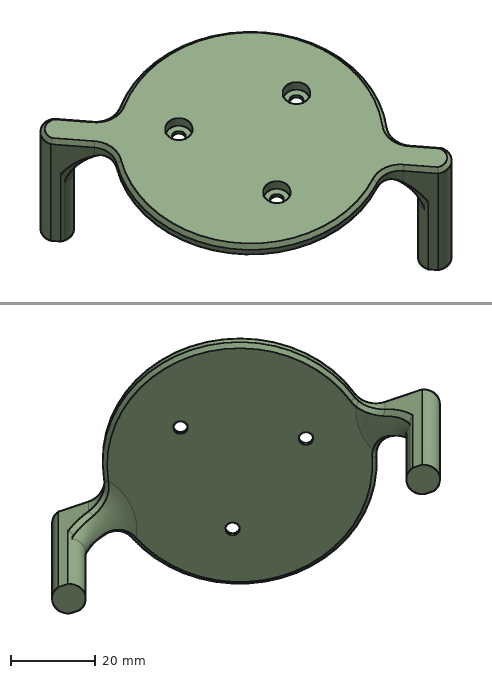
import cadquery as cq
import math

SPAN = 71.65
HEIGHT = 39.0
PLATE_THICKNESS = 4.0
EDGE_CHAMFER = 1.1

DISC_RADIUS = 32.5
DISC_X = -0.5
DISC_Y = 1.85

ARM_ANGLE = 45.0
ARM_WIDTH = 7.7
NECK_RADIUS = 6.0

LEG_RADIUS = 4.0
FLARE_RADIUS = 12.0

HOLE_COUNT = 3
HOLE_CIRCLE_RADIUS = 17.3
FIRST_HOLE_ANGLE = 101.5
HOLE_DIAMETER = 3.4
COUNTERBORE_DIAMETER = 6.5
COUNTERBORE_DEPTH = 3.0

TOLERANCE = 0.1

UNDERSIDE = HEIGHT - PLATE_THICKNESS
FLARE_START = UNDERSIDE - FLARE_RADIUS
LEG_X = SPAN / 2 - LEG_RADIUS
LEG_OFFSET = math.hypot(LEG_X, LEG_X)

ARM_TURN = math.radians(ARM_ANGLE)
DISC_U = DISC_X * math.cos(ARM_TURN) + DISC_Y * math.sin(ARM_TURN)
DISC_V = DISC_Y * math.cos(ARM_TURN) - DISC_X * math.sin(ARM_TURN)


def neck_points(end, side, inset):
    """Start, middle and end of a neck arc in u and v, going from the arm to the disc."""
    neck_radius = NECK_RADIUS + inset
    reach = DISC_RADIUS + NECK_RADIUS
    center_v = side * (ARM_WIDTH / 2 + NECK_RADIUS)
    center_u = DISC_U + end * math.sqrt(reach**2 - (center_v - DISC_V) ** 2)
    arm_direction = -side * math.pi / 2
    disc_direction = math.atan2(DISC_V - center_v, DISC_U - center_u)
    sweep = math.remainder(disc_direction - arm_direction, 2 * math.pi)
    directions = (arm_direction, arm_direction + sweep / 2, disc_direction)
    return [(center_u + neck_radius * math.cos(a), center_v + neck_radius * math.sin(a)) for a in directions]


def outline(plane, inset=0.0):
    """Closed outline of disc and arm, moved inward all around by the inset."""
    disc_radius = DISC_RADIUS - inset
    arm_side = ARM_WIDTH / 2 - inset
    tip_radius = LEG_RADIUS - inset
    tip_u = LEG_OFFSET + tip_radius
    corner_u = LEG_OFFSET + math.sqrt(tip_radius**2 - arm_side**2)
    path = plane.moveTo(corner_u, -arm_side)
    for turn in (1, -1):
        first_neck = neck_points(turn, turn, inset)
        last_neck = neck_points(-turn, turn, inset)
        path = (
            path.threePointArc((turn * tip_u, 0), (turn * corner_u, turn * arm_side))
            .lineTo(*first_neck[0])
            .threePointArc(first_neck[1], first_neck[2])
            .threePointArc((DISC_U, DISC_V + turn * disc_radius), last_neck[2])
            .threePointArc(last_neck[1], last_neck[0])
            .lineTo(-turn * corner_u, turn * arm_side)
        )
    return path.close()


def flared_leg():
    """Space kept for the leg at +u: round and flared toward the disc, straight toward the tip."""
    flare_edge = LEG_RADIUS + FLARE_RADIUS
    swing = FLARE_RADIUS * math.sqrt(0.5)
    flare = (
        cq.Workplane("YZ")
        .lineTo(LEG_RADIUS, 0)
        .lineTo(LEG_RADIUS, FLARE_START)
        .threePointArc((flare_edge - swing, FLARE_START + swing), (flare_edge, UNDERSIDE))
        .lineTo(0, UNDERSIDE)
        .close()
        .revolve(180, (0, 0), (0, 1))
    )
    leg_width = 2 * LEG_RADIUS
    tip_block = cq.Workplane("XY").box(leg_width, leg_width, UNDERSIDE, centered=(False, True, False))
    return flare.union(tip_block).translate((LEG_OFFSET, 0, 0))


def below_plate():
    """Space to clear away under the plate, around the two legs."""
    space = cq.Workplane("XY").box(2 * SPAN, 2 * SPAN, UNDERSIDE, centered=(True, True, False))
    for turn in (0, 180):
        space = space.cut(flared_leg().rotate((0, 0, 0), (0, 0, 1), turn))
    return space


def lower_rim(body):
    """Edges where the walls meet the underside and the flares, without the feet of the flares."""
    undersides = body.faces().filter(
        lambda face: face.geomType() == "TORUS" or abs(face.Center().z - UNDERSIDE) < TOLERANCE
    )
    edges = [edge for face in undersides.vals() for edge in face.Edges()]
    outer_edges = [edge for edge in edges if sum(edge.isSame(other) for other in edges) == 1]
    rim = [edge for edge in outer_edges if edge.BoundingBox().zmax > FLARE_START + TOLERANCE]
    return body.newObject(rim)


def leg_shafts():
    """Straight round shafts of both legs, with flats flush with the sides of the arm."""
    centers = [(LEG_OFFSET, 0), (-LEG_OFFSET, 0)]
    shafts = cq.Workplane("XY").pushPoints(centers).circle(LEG_RADIUS).extrude(UNDERSIDE)
    arm = cq.Workplane("XY").box(2 * SPAN, ARM_WIDTH, UNDERSIDE, centered=(True, True, False))
    return shafts.intersect(arm)


chamfer_base = HEIGHT - EDGE_CHAMFER
body = outline(cq.Workplane("XY")).extrude(chamfer_base).cut(below_plate())
body = lower_rim(body).chamfer(EDGE_CHAMFER)
body = body.union(leg_shafts())

top_layer = outline(cq.Workplane("XY", origin=(0, 0, chamfer_base)))
top_layer = outline(top_layer.workplane(offset=EDGE_CHAMFER), EDGE_CHAMFER).loft(ruled=True)
body = body.union(top_layer).rotate((0, 0, 0), (0, 0, 1), ARM_ANGLE)

result = (
    body.faces(">Z")
    .workplane(origin=(DISC_X, DISC_Y, HEIGHT))
    .polarArray(HOLE_CIRCLE_RADIUS, FIRST_HOLE_ANGLE, 360, HOLE_COUNT)
    .cboreHole(HOLE_DIAMETER, COUNTERBORE_DIAMETER, COUNTERBORE_DEPTH)
)